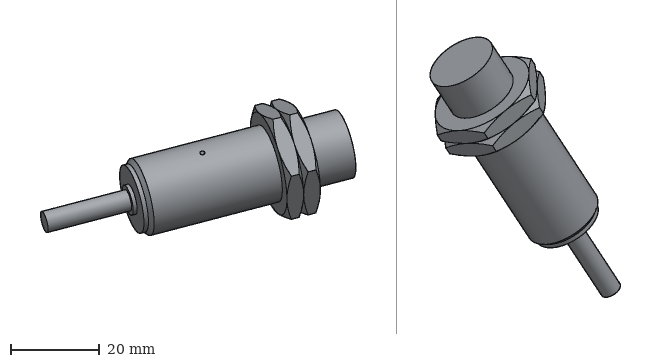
import cadquery as cq
import math

total_length = 72.0
back_y = total_length / 2

head_length = 10.0
nut_thickness = 4.0
nut_count = 2
barrel_length = 30.8
barrel_chamfer = 1.0
end_cap_length = 1.1
collar_length = 0.9

head_diameter = 16.0
barrel_diameter = 18.0
collar_diameter = 7.05
cable_diameter = 5.0
nut_across_flats = 24.0
nut_chamfer_angle = 30.0

indicator_diameter = 1.1
indicator_y = 2.0

nut_across_corners = nut_across_flats / math.cos(math.pi / 6)
nuts_back_y = back_y - head_length
nuts_front_y = nuts_back_y - nut_count * nut_thickness
barrel_front_y = nuts_front_y - barrel_length
cap_front_y = barrel_front_y - barrel_chamfer - end_cap_length
collar_front_y = cap_front_y - collar_length


def make_turned_body():
    """Head, barrel, end cap, collar and cable revolved about the Y axis."""
    head_radius = head_diameter / 2
    barrel_radius = barrel_diameter / 2
    collar_radius = collar_diameter / 2
    cable_radius = cable_diameter / 2
    return (
        cq.Workplane("XY")
        .moveTo(0, back_y)
        .lineTo(head_radius, back_y)
        .lineTo(head_radius, nuts_back_y)
        .lineTo(barrel_radius, nuts_back_y)
        .lineTo(barrel_radius, barrel_front_y)
        .lineTo(head_radius, barrel_front_y - barrel_chamfer)
        .lineTo(head_radius, cap_front_y)
        .lineTo(collar_radius, cap_front_y)
        .lineTo(collar_radius, collar_front_y)
        .lineTo(cable_radius, collar_front_y)
        .lineTo(cable_radius, -total_length / 2)
        .lineTo(0, -total_length / 2)
        .close()
        .revolve(360, (0, 0, 0), (0, 1, 0))
    )


def make_nut(nut_back_y):
    """Hexagon nut with corners on Z and both faces chamfered by a cone."""
    nut_front_y = nut_back_y - nut_thickness
    hexagon = (
        cq.Workplane("XZ", origin=(0, nut_back_y, 0))
        .transformed(rotate=(0, 0, 90))
        .polygon(6, nut_across_corners)
        .extrude(nut_thickness)
    )
    face_radius = nut_across_flats / 2
    corner_radius = nut_across_corners / 2
    chamfer_drop = (corner_radius - face_radius) * math.tan(math.radians(nut_chamfer_angle))
    chamfer_envelope = (
        cq.Workplane("XY")
        .moveTo(0, nut_back_y)
        .lineTo(face_radius, nut_back_y)
        .lineTo(corner_radius, nut_back_y - chamfer_drop)
        .lineTo(corner_radius, nut_front_y + chamfer_drop)
        .lineTo(face_radius, nut_front_y)
        .lineTo(0, nut_front_y)
        .close()
        .revolve(360, (0, 0, 0), (0, 1, 0))
    )
    return hexagon.intersect(chamfer_envelope)


def make_indicator_dimple():
    """Spherical cutter for the indicator dimple, centred on the top line of the barrel."""
    return cq.Workplane("XY", origin=(0, indicator_y, barrel_diameter / 2)).sphere(indicator_diameter / 2)


result = make_turned_body()
for index in range(nut_count):
    result = result.union(make_nut(nuts_back_y - index * nut_thickness))
result = result.cut(make_indicator_dimple())